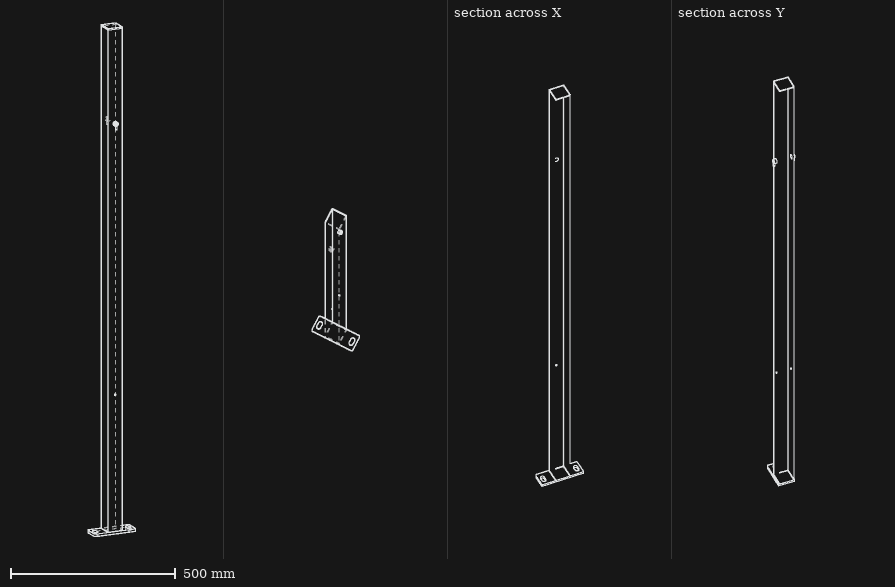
import cadquery as cq

total_height = 1603.0
total_width = 70.0

plate_width = 53.0
plate_length = 140.0
plate_thickness = 8.0
plate_corner_radius = 5.0
slot_width = 13.0
slot_length = 24.0
slot_end_distance = 15.0
slot_offset = plate_length / 2 - slot_end_distance

post_side = 50.0
wall = 2.0
bore_side = post_side - 2 * wall
corner_radius = 2.1
post_height = total_height - plate_thickness
cap_thickness = 5.0
side_hole_diameter = 4.2
side_hole_height = 441.0

stud_diameter = 14.0
stud_chamfer = 2.4
stud_height = 1300.0
stud_length = (total_width - post_side) / 2
pin_diameter = 5.0
pin_offset = 32.0
pin_bottom = 1282.0
pin_length = stud_height - pin_bottom


def make_base_plate():
    """Flat plate on the ground with rounded corners and one slot across each end."""
    plate = (
        cq.Workplane("XY")
        .rect(plate_width, plate_length)
        .extrude(plate_thickness)
        .edges("|Z")
        .fillet(plate_corner_radius)
    )
    return (
        plate.faces(">Z")
        .workplane()
        .pushPoints([(0, -slot_offset), (0, slot_offset)])
        .slot2D(slot_length, slot_width)
        .cutThruAll()
    )


def make_post():
    """Hollow square tube with rounded edges and a small hole through both side walls."""
    tube = (
        cq.Workplane("XY", origin=(0, 0, plate_thickness))
        .rect(post_side, post_side)
        .extrude(post_height)
        .edges("|Z")
        .fillet(corner_radius)
    )
    bore = cq.Workplane("XY", origin=(0, 0, plate_thickness)).rect(bore_side, bore_side).extrude(post_height)
    side_hole = (
        cq.Workplane("YZ", origin=(0, 0, side_hole_height))
        .circle(side_hole_diameter / 2)
        .extrude(post_side, both=True)
    )
    return tube.cut(bore).cut(side_hole)


def make_cap():
    """Square plug that closes the tube, flush with its top."""
    return (
        cq.Workplane("XY", origin=(0, 0, total_height - cap_thickness))
        .rect(bore_side, bore_side)
        .extrude(cap_thickness)
    )


def make_pin(side):
    """Upright pin that hangs below a stud, its top at the stud's axis."""
    return (
        cq.Workplane("XY", origin=(side * pin_offset, 0, pin_bottom))
        .circle(pin_diameter / 2)
        .extrude(pin_length)
    )


def make_stud(side):
    """Round stud on one side wall of the post, with a chamfered outer rim and a recess for its pin."""
    stud = (
        cq.Workplane("YZ", origin=(side * post_side / 2, 0, stud_height))
        .circle(stud_diameter / 2)
        .extrude(side * stud_length)
        .faces(">X" if side > 0 else "<X")
        .chamfer(stud_chamfer)
    )
    return stud.cut(make_pin(side))


base_plate = make_base_plate()
post = make_post()
cap = make_cap()
sides = (-1, 1)
studs = [make_stud(side).val() for side in sides]
pins = [make_pin(side).val() for side in sides]

result = cq.Compound.makeCompound([base_plate.val(), post.val(), cap.val(), *studs, *pins])